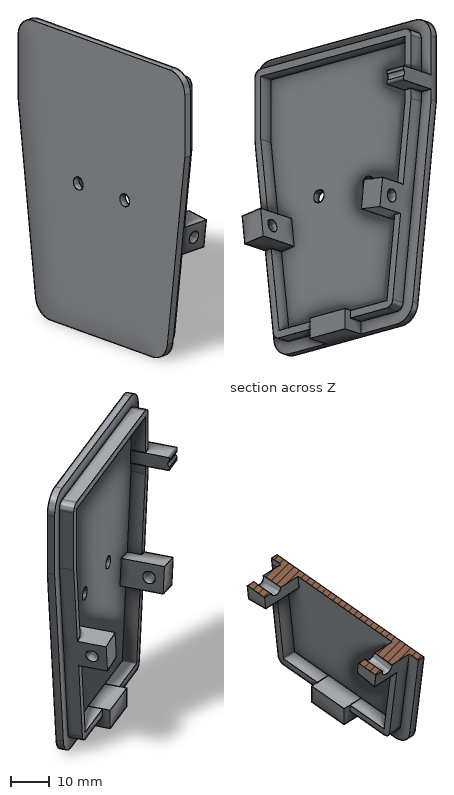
import cadquery as cq
import math

height = 81.25
top_width = 61.3
bottom_width = 47.3
taper_start_z = 58.4
corner_radius = 5.5
plate_thickness = 2.0

rim_inset = 3.4
rim_thickness = 2.0
rim_back_y = 6.0

screw_diameter = 3.5
screw_spacing = 17.1

lug_width = 6.5
lug_height = 7.8
lug_center_z = 31.9
lug_back_y = 14.0
pin_diameter = 3.4
pin_y = 9.9

arm_width = 5.7
arm_height = 3.9
arm_center_z = 63.2
arm_back_y = 12.75
arm_groove_radius = 1.0
arm_groove_depth = 0.5
arm_end_radius = 0.3

tab_width = 12.2
tab_height = 5.5
tab_back_y = 8.1

taper_angle = math.atan2((top_width - bottom_width) / 2, taper_start_z)


def extrude_back(sketch, front_y, back_y):
    """Extrude an XZ sketch towards +Y between two depths."""
    return sketch.extrude(-(back_y - front_y)).translate((0, front_y, 0))


def plate_outline():
    half_top = top_width / 2
    half_bottom = bottom_width / 2
    return cq.Workplane("XZ").polyline([
        (-half_bottom, 0),
        (half_bottom, 0),
        (half_top, taper_start_z),
        (half_top, height),
        (-half_top, height),
        (-half_top, taper_start_z),
    ]).close()


def make_plate():
    """Plate with its four top and bottom corners rounded."""
    plate = extrude_back(plate_outline(), 0, plate_thickness)
    end_corners = plate.faces(">Z or <Z").edges("|Y")
    return end_corners.fillet(corner_radius)


def inset_prism(distance):
    """Prism from the plate front to the rim back, inset from the plate edge."""
    outline = make_plate().faces("<Y").wires().toPending().offset2D(-distance)
    return outline.extrude(-rim_back_y)


def make_rim():
    return inset_prism(rim_inset).cut(inset_prism(rim_inset + rim_thickness))


def make_left_lug():
    """Lug whose outer face is flush with the tapered side of the rim."""
    plate_side_x = -bottom_width / 2 - lug_center_z * math.tan(taper_angle)
    rim_side_x = plate_side_x + rim_inset / math.cos(taper_angle)
    lug = extrude_back(
        cq.Workplane("XZ").center(lug_width / 2, 0).rect(lug_width, lug_height),
        plate_thickness,
        lug_back_y,
    )
    pin_hole = cq.Workplane("YZ").center(pin_y, 0).circle(pin_diameter / 2).extrude(lug_width)
    lug = lug.cut(pin_hole)
    lug = lug.rotate((0, 0, 0), (0, 1, 0), -math.degrees(taper_angle))
    return lug.translate((rim_side_x, 0, lug_center_z))


def make_arm():
    arm = cq.Workplane("YZ").center(0, arm_center_z).rect(2 * arm_back_y, arm_height).extrude(arm_width)
    arm = arm.edges("|X and >Y").fillet(arm_end_radius)
    groove_center_y = arm_back_y - arm_groove_depth + arm_groove_radius
    groove = cq.Workplane("YZ").center(groove_center_y, arm_center_z)
    arm = arm.cut(groove.circle(arm_groove_radius).extrude(arm_width))
    front_half = cq.Workplane("XY").box(arm_width, arm_back_y, height, centered=False)
    return arm.intersect(front_half).translate((-top_width / 2, 0, 0))


def make_tab():
    outline = cq.Workplane("XZ").center(0, tab_height / 2).rect(tab_width, tab_height)
    return extrude_back(outline, 0, tab_back_y)


left_lug = make_left_lug()
body = make_plate().union(make_rim())
for feature in (left_lug, left_lug.mirror("YZ"), make_arm(), make_tab()):
    body = body.union(feature)

screw_holes = (
    cq.Workplane("XZ")
    .pushPoints([(side * screw_spacing / 2, height / 2) for side in (-1, 1)])
    .circle(screw_diameter / 2)
    .extrude(-plate_thickness)
)
result = body.cut(screw_holes)